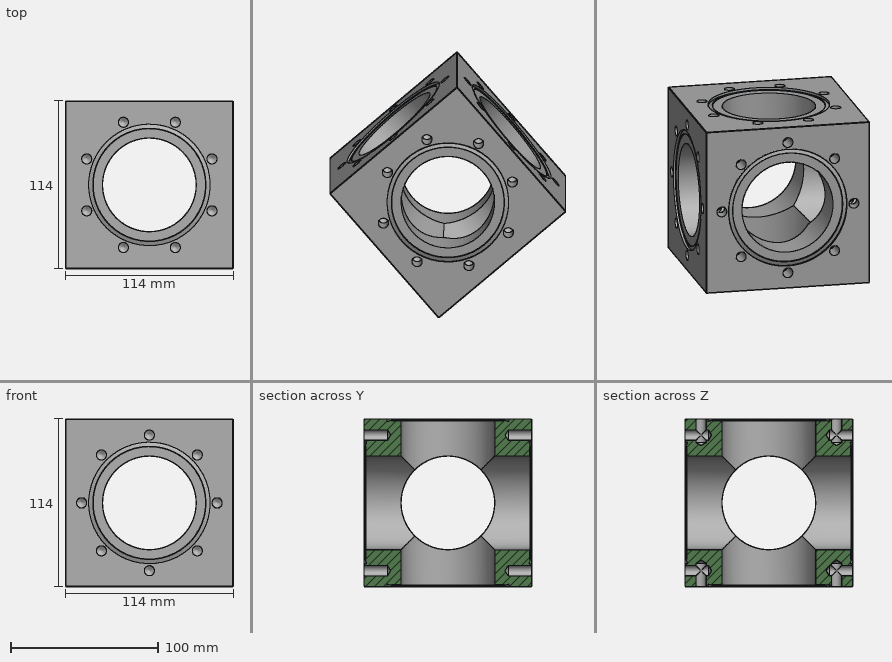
import cadquery as cq
import math

cube_size = 114.0
edge_chamfer = 0.5
bore_diameter = 63.5

recess_diameter = 82.5
knife_diameter = 77.0
knife_depth = 0.7
knife_slope = 20.0
seat_diameter = 76.4
seat_depth = 1.3

bolt_count = 8
bolt_circle_diameter = 92.1
bolt_hole_diameter = 6.8
bolt_hole_depth = 16.0
drill_point_angle = 118.0

half = cube_size / 2


def seal_seat_cutter():
    """Ring-shaped cut for the seat, revolved about Z with the cube face at Z = half."""
    flank_width = (recess_diameter - knife_diameter) / 2
    recess_depth = knife_depth + flank_width * math.tan(math.radians(knife_slope))
    profile = [
        (0, half),
        (recess_diameter / 2, half),
        (recess_diameter / 2, half - recess_depth),
        (knife_diameter / 2, half - knife_depth),
        (seat_diameter / 2, half - seat_depth),
        (0, half - seat_depth),
    ]
    return cq.Workplane("XZ").polyline(profile).close().revolve(360, (0, 0), (0, 1))


def bolt_hole_cutter():
    """One drilled hole on the Z axis, entering through Z = half."""
    radius = bolt_hole_diameter / 2
    point_height = radius / math.tan(math.radians(drill_point_angle / 2))
    shoulder = half - bolt_hole_depth
    profile = [(0, half), (radius, half), (radius, shoulder), (0, shoulder - point_height)]
    return cq.Workplane("XZ").polyline(profile).close().revolve(360, (0, 0), (0, 1))


def port_cutter(first_hole_angle):
    """Bore, seal seat and bolt holes of the port in the +Z face."""
    cutter = cq.Workplane("XY").circle(bore_diameter / 2).extrude(half)
    cutter = cutter.union(seal_seat_cutter())
    hole = bolt_hole_cutter().translate((bolt_circle_diameter / 2, 0, 0))
    for i in range(bolt_count):
        angle = first_hole_angle + i * 360 / bolt_count
        cutter = cutter.add(hole.rotate((0, 0, 0), (0, 0, 1), angle))
    return cutter.combine()


side_port = port_cutter(0)
end_port = port_cutter(180 / bolt_count)

result = cq.Workplane("XY").box(cube_size, cube_size, cube_size).edges().chamfer(edge_chamfer)

for tilt in (0, 180):
    result = result.cut(end_port.rotate((0, 0, 0), (1, 0, 0), tilt))

upright_port = side_port.rotate((0, 0, 0), (1, 0, 0), 90)
for turn in (0, 90, 180, 270):
    result = result.cut(upright_port.rotate((0, 0, 0), (0, 0, 1), turn))